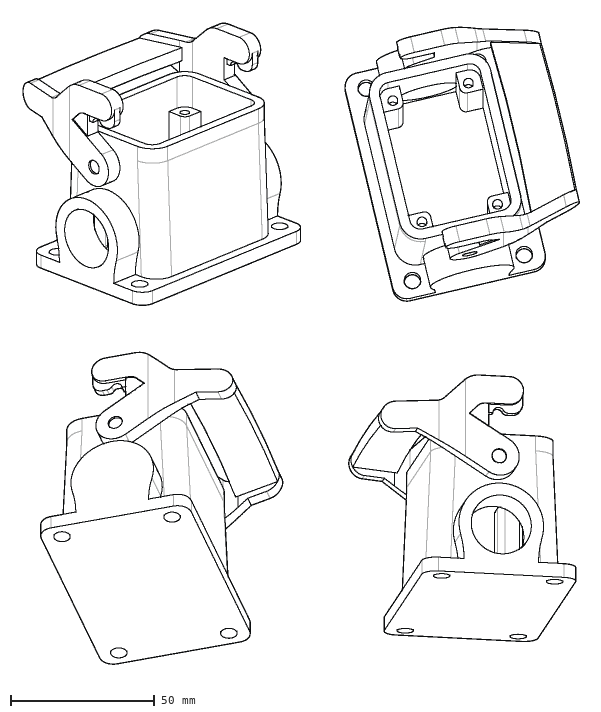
import cadquery as cq
import math

base_width = 54.5
base_length = 82.0
base_thickness = 5.0
base_corner_radius = 5.0
mount_hole_diameter = 5.7
mount_hole_x = 20.0
mount_hole_y = 35.0

shell_foot_width = 47.1
shell_rim_width = 43.3
shell_length = 60.3
shell_corner_radius = 7.5
taper_top_z = 48.55
rim_z = 54.0

wall_x = 3.6
wall_y = 3.5
cavity_corner_radius = 3.8
cavity_width = shell_rim_width - 2 * wall_x
cavity_length = shell_length - 2 * wall_y

post_x = 13.5
post_y = 22.05
post_inner_x = 10.2
post_inner_y = 18.8
post_corner_radius = 2.2
post_top_z = 42.15
post_hole_diameter = 3.4
post_hole_depth = 12.3

hub_z = 18.0
hub_radius = 15.0
hub_foot_half_width = 13.2
cable_hole_diameter = 21.3

pivot_z = 44.0
pivot_end_radius = 7.05
pivot_arm_angle = 32.0
pin_diameter = 4.0
pin_recess_diameter = 5.1
pin_recess_depth = 0.8
web_recess_depth = 0.5

lever_inner_y = 31.6
lever_outer_y = 37.3
lever_top_z = 73.0
bend_angle = 15.0
outer_bend_x = -16.65
outer_bend_radius = 35.3
inner_bend_x = -21.8
inner_bend_radius = 22.1

handle_z = 58.5
handle_radius = 5.0
handle_end_x = -40.8
handle_bend_x = -20.3
handle_bend_radius = 4.0
shoulder_x = -10.2
shoulder_radius = 7.5

hook_radius = 5.0
hook_tip_x = 8.6
web_edge_x = -3.6
notch_corner_x = -10.6
notch_fillet = 4.0

catch_thickness = 2.8
catch_bottom_z = 60.0
catch_tip_radius = 3.5
catch_groove_radius = 2.0

grip_thickness = 5.0
overall_width = 68.7
grip_front_x = base_width / 2 - overall_width
grip_rear_x = -24.4
grip_end_overlap = 0.8

web_outer_y = lever_outer_y - web_recess_depth
catch_inner_y = (lever_inner_y + lever_outer_y - catch_thickness) / 2
hook_bottom_z = lever_top_z - 2 * hook_radius
hook_center_x = hook_tip_x - hook_radius
hook_center_z = lever_top_z - hook_radius
handle_top_z = handle_z + handle_radius
handle_bottom_z = handle_z - handle_radius
handle_center_x = handle_end_x + handle_radius
arm_slope = math.tan(math.radians(pivot_arm_angle))
tangent_dx = pivot_end_radius * math.sin(math.radians(pivot_arm_angle))
tangent_dz = pivot_end_radius * math.cos(math.radians(pivot_arm_angle))
bend_slope = math.tan(math.radians(bend_angle))


def rounded_block(width, length, radius, bottom_z, top_z):
    """Upright block with rounded vertical edges, centred on the Z axis."""
    return (
        cq.Workplane("XY", origin=(0, 0, bottom_z))
        .rect(width, length)
        .extrude(top_z - bottom_z)
        .edges("|Z")
        .fillet(radius)
    )


def upper_arm_edge_z(x):
    """Height of the pivot arm's upper edge at x."""
    return pivot_z + tangent_dz + (tangent_dx - x) * arm_slope


def make_base():
    """Mounting flange with a screw hole near each corner."""
    return (
        rounded_block(base_width, base_length, base_corner_radius, 0, base_thickness)
        .faces(">Z")
        .workplane()
        .rect(2 * mount_hole_x, 2 * mount_hole_y, forConstruction=True)
        .vertices()
        .hole(mount_hole_diameter)
    )


def make_hub():
    """Cable hub running the full base length, its round top flaring into an upright foot."""
    rise = hub_z - base_thickness
    flare_radius = (hub_foot_half_width**2 + rise**2 - hub_radius**2) / (
        2 * (hub_radius - hub_foot_half_width)
    )
    flare_center_x = hub_foot_half_width + flare_radius
    flare_angle = math.atan2(rise, flare_center_x)
    join_x = hub_radius * math.cos(flare_angle)
    join_z = hub_z - hub_radius * math.sin(flare_angle)
    middle_x = flare_center_x - flare_radius * math.cos(flare_angle / 2)
    middle_z = base_thickness + flare_radius * math.sin(flare_angle / 2)
    return (
        cq.Workplane("XZ")
        .moveTo(-hub_foot_half_width, base_thickness)
        .threePointArc((-middle_x, middle_z), (-join_x, join_z))
        .threePointArc((0, hub_z + hub_radius), (join_x, join_z))
        .threePointArc((middle_x, middle_z), (hub_foot_half_width, base_thickness))
        .close()
        .extrude(base_length / 2, both=True)
    )


def make_shell():
    """Solid shell whose long sides lean in up to the taper top, then rise straight to the rim."""
    taper_height = taper_top_z - base_thickness
    foot = cq.Sketch().rect(shell_foot_width, shell_length).vertices().fillet(shell_corner_radius)
    neck = cq.Sketch().rect(shell_rim_width, shell_length).vertices().fillet(shell_corner_radius)
    tapered = (
        cq.Workplane("XY", origin=(0, 0, base_thickness))
        .placeSketch(foot, neck.moved(cq.Location(cq.Vector(0, 0, taper_height))))
        .loft()
    )
    rim = rounded_block(shell_rim_width, shell_length, shell_corner_radius, taper_top_z, rim_z)
    return tapered.union(rim)


def make_post(side_x, side_y, cavity):
    """Screw post that fills one corner of the cavity up to the post top."""
    size_x = cavity_width - 2 * post_inner_x
    size_y = cavity_length - 2 * post_inner_y
    center = (side_x * cavity_width / 2, side_y * cavity_length / 2, 0)
    block = rounded_block(size_x, size_y, post_corner_radius, 0, post_top_z).translate(center)
    screw_hole = (
        cq.Workplane("XY", origin=(side_x * post_x, side_y * post_y, post_top_z - post_hole_depth))
        .circle(post_hole_diameter / 2)
        .extrude(post_hole_depth)
    )
    return block.intersect(cavity).cut(screw_hole)


def make_housing():
    """Open-topped housing with a cable bore through its -Y wall only."""
    cavity = rounded_block(cavity_width, cavity_length, cavity_corner_radius, base_thickness, rim_z)
    cable_hole = (
        cq.Workplane("XZ", origin=(0, -cavity_length / 2, hub_z))
        .circle(cable_hole_diameter / 2)
        .extrude((base_length - cavity_length) / 2)
    )
    body = make_base().union(make_shell()).union(make_hub()).cut(cavity).cut(cable_hole)
    for side_x in (-1, 1):
        for side_y in (-1, 1):
            body = body.union(make_post(side_x, side_y, cavity))
    return body


def make_side_profile():
    """Side outline of one lever arm, extruded from the mid plane to the outer face on -Y."""
    block = (
        cq.Workplane("XZ")
        .moveTo(-tangent_dx, pivot_z - tangent_dz)
        .lineTo(-tangent_dx - (handle_bottom_z - pivot_z + tangent_dz) / arm_slope, handle_bottom_z)
        .lineTo(handle_center_x, handle_bottom_z)
        .threePointArc((handle_end_x, handle_z), (handle_center_x, handle_top_z))
        .lineTo(handle_bend_x, handle_top_z)
        .lineTo(shoulder_x, lever_top_z)
        .lineTo(hook_center_x, lever_top_z)
        .threePointArc((hook_tip_x, hook_center_z), (hook_center_x, hook_bottom_z))
        .lineTo(web_edge_x, hook_bottom_z)
        .lineTo(web_edge_x, upper_arm_edge_z(web_edge_x))
        .lineTo(tangent_dx, pivot_z + tangent_dz)
        .threePointArc((tangent_dz, pivot_z - tangent_dx), (-tangent_dx, pivot_z - tangent_dz))
        .close()
        .extrude(lever_outer_y)
    )
    half_y = -lever_outer_y / 2
    bend_edge = cq.selectors.NearestToPointSelector((handle_bend_x, half_y, handle_top_z))
    shoulder_edge = cq.selectors.NearestToPointSelector((shoulder_x, half_y, lever_top_z))
    block = block.edges(bend_edge).fillet(handle_bend_radius)
    return block.edges(shoulder_edge).fillet(shoulder_radius)


def make_plan():
    """Bent strip seen from above: straight at the pivot, leaning inwards towards the handle."""
    outer_end_y = lever_outer_y - (outer_bend_x - handle_end_x) * bend_slope
    inner_end_y = lever_inner_y - (inner_bend_x - handle_end_x) * bend_slope
    strip = (
        cq.Workplane("XY")
        .moveTo(hook_tip_x, -lever_outer_y)
        .lineTo(outer_bend_x, -lever_outer_y)
        .lineTo(handle_end_x, -outer_end_y)
        .lineTo(handle_end_x, -inner_end_y)
        .lineTo(inner_bend_x, -lever_inner_y)
        .lineTo(hook_tip_x, -lever_inner_y)
        .close()
        .extrude(lever_top_z)
    )
    half_z = lever_top_z / 2
    outer_edge = cq.selectors.NearestToPointSelector((outer_bend_x, -lever_outer_y, half_z))
    inner_edge = cq.selectors.NearestToPointSelector((inner_bend_x, -lever_inner_y, half_z))
    strip = strip.edges(outer_edge).fillet(outer_bend_radius)
    return strip.edges(inner_edge).fillet(inner_bend_radius)


def make_web_recess():
    """Shallow recess in the outer face between the hook and the pivot arm."""
    corner_z = upper_arm_edge_z(notch_corner_x)
    roof_x = notch_corner_x + hook_bottom_z - corner_z
    recess = (
        cq.Workplane("XZ", origin=(0, -web_outer_y, 0))
        .moveTo(notch_corner_x, corner_z)
        .lineTo(roof_x, hook_bottom_z)
        .lineTo(web_edge_x, hook_bottom_z)
        .lineTo(web_edge_x, upper_arm_edge_z(web_edge_x))
        .close()
        .extrude(web_recess_depth)
    )
    roof_edge = cq.selectors.NearestToPointSelector((roof_x, -web_outer_y, hook_bottom_z))
    return recess.edges("|Y").edges(roof_edge).fillet(notch_fillet)


def make_catch():
    """Plate under the hook with a round groove for the locking stud."""
    plate = (
        cq.Workplane("XZ", origin=(0, -catch_inner_y, 0))
        .moveTo(web_edge_x, catch_bottom_z)
        .lineTo(-catch_groove_radius, catch_bottom_z)
        .threePointArc((0, catch_bottom_z + catch_groove_radius), (catch_groove_radius, catch_bottom_z))
        .lineTo(hook_tip_x, catch_bottom_z)
        .lineTo(hook_tip_x, hook_center_z)
        .lineTo(web_edge_x, hook_center_z)
        .close()
        .extrude(catch_thickness)
    )
    middle_y = -(lever_inner_y + lever_outer_y) / 2
    tip_edge = cq.selectors.NearestToPointSelector((hook_tip_x, middle_y, catch_bottom_z))
    groove_edge = cq.selectors.NearestToPointSelector((catch_groove_radius, middle_y, catch_bottom_z))
    plate = plate.edges(tip_edge).fillet(catch_tip_radius)
    return plate.edges("|Y").edges(groove_edge).fillet(catch_groove_radius)


def make_lever_arm():
    """Lever arm on the -Y side with its hook, catch and pivot pin."""
    pin_recess = (
        cq.Workplane("XZ", origin=(0, pin_recess_depth - lever_outer_y, pivot_z))
        .circle(pin_recess_diameter / 2)
        .extrude(pin_recess_depth)
    )
    pin = (
        cq.Workplane("XZ", origin=(0, -shell_length / 2, pivot_z))
        .circle(pin_diameter / 2)
        .extrude(lever_inner_y - shell_length / 2)
    )
    arm = make_side_profile().intersect(make_plan())
    return arm.cut(make_web_recess()).cut(pin_recess).union(make_catch()).union(pin)


def make_grip():
    """Bowed plate between the arms: a round-nosed ring sector whose slanted ends enter the arms."""
    bow_half_y = lever_inner_y - (inner_bend_x - handle_end_x) * bend_slope
    bow = handle_end_x - grip_front_x
    bow_radius = (bow_half_y**2 + bow**2) / (2 * bow)
    half_thickness = grip_thickness / 2
    nose_depth = handle_radius - math.sqrt(handle_radius**2 - half_thickness**2)
    ring = (
        cq.Workplane("XZ", origin=(0, 0, handle_z))
        .moveTo(grip_rear_x, -half_thickness)
        .lineTo(grip_front_x + nose_depth, -half_thickness)
        .threePointArc((grip_front_x, 0), (grip_front_x + nose_depth, half_thickness))
        .lineTo(grip_rear_x, half_thickness)
        .close()
        .revolve(360, (grip_front_x + bow_radius, 0), (grip_front_x + bow_radius, 1))
    )
    rear_half_y = lever_inner_y + grip_end_overlap
    front_half_y = rear_half_y - (inner_bend_x - grip_front_x) * bend_slope
    sector = (
        cq.Workplane("XY", origin=(0, 0, handle_bottom_z))
        .moveTo(grip_front_x, -front_half_y)
        .lineTo(grip_front_x, front_half_y)
        .lineTo(inner_bend_x, rear_half_y)
        .lineTo(inner_bend_x, -rear_half_y)
        .close()
        .extrude(2 * handle_radius)
    )
    return ring.intersect(sector)


def make_lever():
    """Locking lever: two mirrored arms joined by the grip, its pins ending at the housing walls."""
    arm = make_lever_arm()
    return arm.union(arm.mirror("XZ")).union(make_grip())


housing = make_housing()
lever = make_lever()
result = cq.Compound.makeCompound([housing.val(), lever.val()])